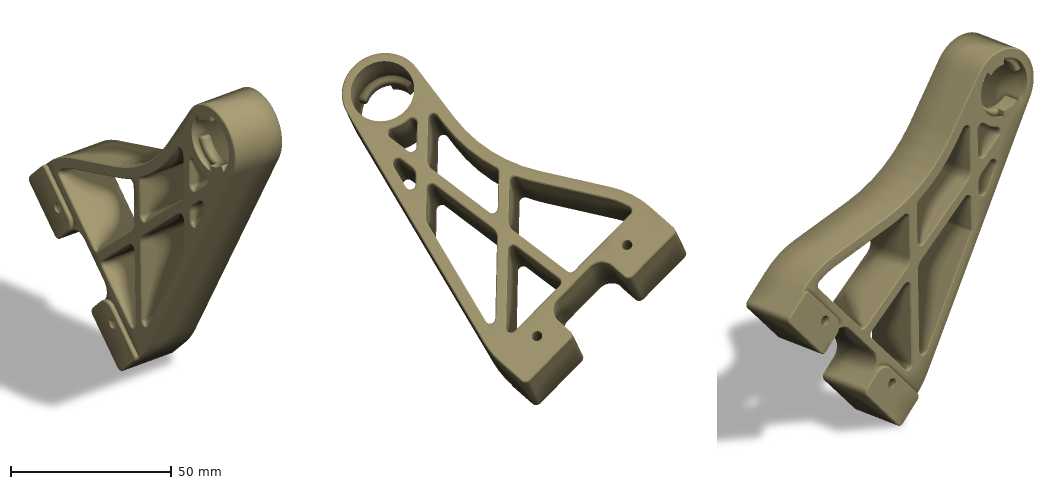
import cadquery as cq
import math


BODY_DEPTH = 18.5
PAD_HEIGHT = 1.5
EDGE_CHAMFER = 0.3
HEAD_RADIUS = 13.0
BACK_ANGLE = 55.5
SHOULDER_ANGLE = 17.2
FRONT_ANGLE = 61.6
BASE_ANGLE = 45.0
SHOULDER_CORNER = (-66.7, -35.3)
HOLLOW_RADIUS = 50.6
HIP_RADIUS = 30.0

BASE_CENTER = 5.7
BASE_WIDTH = 68.1
BASE_LEVEL = -103.7
PAD_TOP_LEVEL = -91.6
NOTCH_LEVEL = -91.3
PAD_ROOT = 1.1
PAD_WIDTH = 22.0
FOOT_RADIUS = 1.8
NOTCH_RADIUS = 5.0
PAD_INNER_RADIUS = 4.0
PAD_OUTER_RADIUS = 1.5
PAD_HOLE_DIAMETER = 3.3
PAD_HOLE_SPACING = 40.3
PAD_HOLE_LEVEL = -95.0

RIM_WIDTH = 4.0
STRUT_WIDTH = 3.5
BASE_RIB_LEVEL = -88.3
UPRIGHT_TILT = 91.2
UPRIGHT_POINTS = ((-38.0, -48.8), (-12.4, -22.7))
DIAGONAL_ANGLE = 41.0
DIAGONAL_POINT = (-31.3, -43.0)
WINDOW_RADIUS = 1.6
CROSSING_RADIUS = 4.0
OVERSIZE = 340.7

BORE_DIAMETER = 20.1
LIP_DIAMETER = 19.5
LIP_DEPTH = 1.5
LUG_INNER_DIAMETER = 15.7
LUG_DEPTH = 6.2
LUG_START = 15.0
LUG_STEP = 90.0
LUG_END = 135.0
LUG_RECESS = 2.5
LUG_ROUND = 1.0


def on_base(along, up):
    """Point of the turned base frame in (x, z)."""
    turn = math.radians(BASE_ANGLE)
    return (along * math.sin(turn) + up * math.cos(turn), -along * math.cos(turn) + up * math.sin(turn))


def polar(radius, degrees):
    angle = math.radians(degrees)
    return (radius * math.cos(angle), radius * math.sin(angle))


def crossing(point_a, degrees_a, point_b, degrees_b):
    """Point where two lines, each given by a point and a slope angle, meet."""
    ax, az = polar(1, degrees_a)
    bx, bz = polar(1, degrees_b)
    dx, dz = point_b[0] - point_a[0], point_b[1] - point_a[1]
    step = (dx * bz - dz * bx) / (ax * bz - az * bx)
    return (point_a[0] + step * ax, point_a[1] + step * az)


def section(y):
    """Sketch plane at depth y with local axes X and Z; a negative extrusion goes towards +Y."""
    return cq.Workplane(cq.Plane(origin=(0, y, 0), xDir=(1, 0, 0), normal=(0, -1, 0)))


def rounded_outline(plane, corners):
    """Closed outline through (point, radius) corners, each rounded by a tangent arc."""
    stops = []
    for index, (corner, radius) in enumerate(corners):
        before = cq.Vector(*corners[index - 1][0])
        after = cq.Vector(*corners[(index + 1) % len(corners)][0])
        here = cq.Vector(*corner)
        to_before = (before - here).normalized()
        to_after = (after - here).normalized()
        half_angle = to_before.getAngle(to_after) / 2
        reach = radius / math.tan(half_angle)
        bisector = (to_before + to_after).normalized()
        middle = here + bisector * (radius / math.sin(half_angle) - radius)
        stops.append((here + to_before * reach, middle, here + to_after * reach, radius))
    path = plane.moveTo(*stops[0][2].toTuple()[:2])
    for start, middle, end, radius in stops[1:] + stops[:1]:
        path = path.lineTo(start.x, start.y)
        if radius > 0:
            path = path.threePointArc((middle.x, middle.y), (end.x, end.y))
    return path.close()


def base_block(along_center, width, low, high):
    """Rectangle in the base frame as four (x, z) points."""
    left = along_center - width / 2
    right = along_center + width / 2
    return [on_base(left, high), on_base(left, low), on_base(right, low), on_base(right, high)]


BASE_LEFT = BASE_CENTER - BASE_WIDTH / 2
BASE_RIGHT = BASE_CENTER + BASE_WIDTH / 2
NOTCH_WIDTH = BASE_WIDTH - 2 * PAD_WIDTH
NOTCH_LEFT = BASE_CENTER - NOTCH_WIDTH / 2
NOTCH_RIGHT = BASE_CENTER + NOTCH_WIDTH / 2


def arm_corners(bottom_corners):
    """Corners of the arm from the right of the head round to the front edge, with the given bottom."""
    head_left = polar(HEAD_RADIUS, BACK_ANGLE + 90)
    head_right = polar(HEAD_RADIUS, FRONT_ANGLE - 90)
    left_side = on_base(BASE_LEFT, BASE_LEVEL)
    right_side = on_base(BASE_RIGHT, BASE_LEVEL)
    return [
        (head_right, 0),
        (head_left, 0),
        (crossing(head_left, BACK_ANGLE, SHOULDER_CORNER, SHOULDER_ANGLE), HOLLOW_RADIUS),
        (crossing(SHOULDER_CORNER, SHOULDER_ANGLE, left_side, BASE_ANGLE), HIP_RADIUS),
        *bottom_corners,
        (crossing(head_right, FRONT_ANGLE, right_side, BASE_ANGLE), HIP_RADIUS),
    ]


FEET_CORNERS = [
    (on_base(BASE_LEFT, BASE_LEVEL), FOOT_RADIUS),
    (on_base(NOTCH_LEFT, BASE_LEVEL), FOOT_RADIUS),
    (on_base(NOTCH_LEFT, NOTCH_LEVEL), NOTCH_RADIUS),
    (on_base(NOTCH_RIGHT, NOTCH_LEVEL), NOTCH_RADIUS),
    (on_base(NOTCH_RIGHT, BASE_LEVEL), FOOT_RADIUS),
    (on_base(BASE_RIGHT, BASE_LEVEL), FOOT_RADIUS),
]
PLAIN_CORNERS = [(on_base(BASE_LEFT, BASE_LEVEL), 0), (on_base(BASE_RIGHT, BASE_LEVEL), 0)]


def plate():
    blank = rounded_outline(section(0), arm_corners(FEET_CORNERS)).extrude(-BODY_DEPTH)
    return blank.union(section(0).circle(HEAD_RADIUS).extrude(-BODY_DEPTH))


def pad(side):
    """Raised pad on one foot; side is -1 for the left foot and 1 for the right."""
    center = BASE_CENTER + side * (BASE_WIDTH - PAD_WIDTH) / 2
    points = base_block(center, PAD_WIDTH, BASE_LEVEL, PAD_TOP_LEVEL)
    left_top = PAD_OUTER_RADIUS if side < 0 else PAD_INNER_RADIUS
    right_top = PAD_INNER_RADIUS if side < 0 else PAD_OUTER_RADIUS
    radii = [left_top, FOOT_RADIUS, FOOT_RADIUS, right_top]
    outline = rounded_outline(section(PAD_ROOT), list(zip(points, radii)))
    raised = outline.extrude(PAD_ROOT + PAD_HEIGHT)
    return raised.faces("<Y").chamfer(EDGE_CHAMFER)


def strut(point, degrees):
    bar = section(0).rect(OVERSIZE, STRUT_WIDTH).extrude(-BODY_DEPTH)
    return bar.rotate((0, 0, 0), (0, -1, 0), degrees).translate((point[0], 0, point[1]))


def window_cutters():
    """Space inside the rim, split by the struts, with rounded corners."""
    rim = rounded_outline(section(0), arm_corners(PLAIN_CORNERS)).offset2D(-RIM_WIDTH)
    space = rim.extrude(-BODY_DEPTH)
    base = base_block(BASE_CENTER, OVERSIZE, BASE_LEVEL - RIM_WIDTH, BASE_RIB_LEVEL)
    space = space.cut(section(0).polyline(base).close().extrude(-BODY_DEPTH))
    space = space.cut(section(0).circle(HEAD_RADIUS).extrude(-BODY_DEPTH))
    space = space.cut(strut(DIAGONAL_POINT, DIAGONAL_ANGLE))
    for point in UPRIGHT_POINTS:
        space = space.cut(strut(point, UPRIGHT_TILT))
    for point in UPRIGHT_POINTS:
        x, z = crossing(point, UPRIGHT_TILT, DIAGONAL_POINT, DIAGONAL_ANGLE)
        low = (x - STRUT_WIDTH, 0, z - STRUT_WIDTH)
        high = (x + STRUT_WIDTH, BODY_DEPTH, z + STRUT_WIDTH)
        around = cq.selectors.BoxSelector(low, high)
        space = space.edges("|Y").edges(around).fillet(CROSSING_RADIUS)
    cutters = []
    for opening in space.solids().vals():
        front = cq.Workplane(opening).faces("<Y")
        core = section(0).add(front.wires().vals()).toPending().offset2D(-WINDOW_RADIUS)
        cutters.append(section(0).add(core.vals()).toPending().offset2D(WINDOW_RADIUS).extrude(-BODY_DEPTH))
    return cutters


def ring_sector(depth_start, depth_end, start, end):
    """Sector of the ring between the lug bore and the full bore."""
    outer = BORE_DIAMETER / 2
    inner = LUG_INNER_DIAMETER / 2
    middle = (start + end) / 2
    return (
        section(depth_start)
        .moveTo(*polar(inner, start))
        .lineTo(*polar(outer, start))
        .threePointArc(polar(outer, middle), polar(outer, end))
        .lineTo(*polar(inner, end))
        .threePointArc(polar(inner, middle), polar(inner, start))
        .close()
        .extrude(depth_start - depth_end)
    )


def lug():
    """Bayonet lug: a full-height stop followed by a recessed seat, with rounded inner edges."""
    inner_edge = cq.selectors.RadiusNthSelector(0)
    shape = ring_sector(0, LUG_DEPTH, LUG_START, LUG_END)
    shape = shape.faces(">Y").edges(inner_edge).fillet(LUG_ROUND)
    shape = shape.cut(ring_sector(0, LUG_RECESS, LUG_START, LUG_STEP))
    tip_x, tip_z = polar(LUG_INNER_DIAMETER / 2, LUG_START)
    tip_edge = cq.selectors.NearestToPointSelector((tip_x, (LUG_RECESS + LUG_DEPTH - LUG_ROUND) / 2, tip_z))
    shape = shape.edges("|Y").edges(tip_edge).fillet(LUG_ROUND)
    seat_x, seat_z = polar(LUG_INNER_DIAMETER / 2, (LUG_START + LUG_STEP) / 2)
    seat_edge = cq.selectors.NearestToPointSelector((seat_x, LUG_RECESS, seat_z))
    return shape.edges(seat_edge).fillet(LUG_ROUND)


def pad_holes():
    """Through holes, one in each pad."""
    half_spacing = PAD_HOLE_SPACING / 2
    centers = [on_base(BASE_CENTER + side * half_spacing, PAD_HOLE_LEVEL) for side in (-1, 1)]
    drill = section(-PAD_HEIGHT).pushPoints(centers).circle(PAD_HOLE_DIAMETER / 2)
    return drill.extrude(-(PAD_HEIGHT + BODY_DEPTH))


body = plate()
for cutter in window_cutters():
    body = body.cut(cutter)
body = body.faces("<Y or >Y").chamfer(EDGE_CHAMFER)
body = body.cut(section(0).circle(LIP_DIAMETER / 2).extrude(-BODY_DEPTH))
body = body.cut(section(LIP_DEPTH).circle(BORE_DIAMETER / 2).extrude(-BODY_DEPTH))
for turn in (0, 180):
    body = body.union(lug().rotate((0, 0, 0), (0, 1, 0), turn))
for side in (-1, 1):
    body = body.union(pad(side))

result = body.cut(pad_holes())